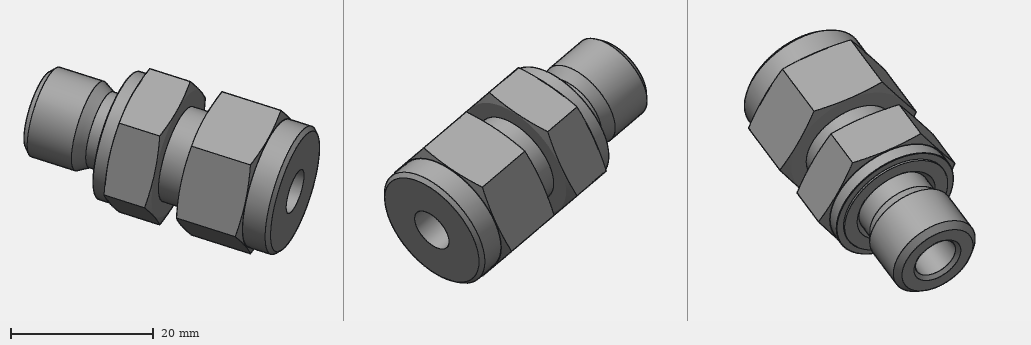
import cadquery as cq
import math

TOTAL_LENGTH = 38.8
THREAD_END = 7.6
RELIEF_START = 9.35
FLANGE_START = 12.03
BODY_HEX_START = 13.95
BODY_HEX_END = 21.0
NUT_START = 24.95
NUT_HEX_END = 34.75

ACROSS_FLATS = 19.0
HEX_CHAMFER_RADIUS = 9.35
HEX_CHAMFER_ANGLE = 15.0

BORE_RADIUS = 3.22
THREAD_RADIUS = 6.6
RELIEF_RADIUS = 5.6
COLLAR_RADIUS = 9.43
NECK_RADIUS = 7.0

THREAD_CHAMFER = 0.9
BORE_CHAMFER = 0.55
FLANGE_CHAMFER = 0.08
NUT_CHAMFER = 0.6

LIP_HEIGHT = 0.3
LIP_RADIUS = 8.3
LIP_INNER_RADIUS = 6.3
RECESS_DEPTH = LIP_INNER_RADIUS - RELIEF_RADIUS


def revolve_profile(points):
    """Turn an (X, radius) outline about the X axis."""
    return cq.Workplane("XY").polyline(points).close().revolve(360, (0, 0, 0), (1, 0, 0))


def cylinder(start, end, radius):
    """Solid cylinder about the X axis between two X positions."""
    return cq.Workplane("YZ").workplane(offset=start).circle(radius).extrude(end - start)


def chamfered_hex(start, end):
    """Hexagonal prism with flats up and down and its corners turned off at both ends."""
    corner_radius = ACROSS_FLATS / math.sqrt(3)
    prism = (
        cq.Workplane("YZ")
        .workplane(offset=start)
        .polygon(6, 2 * corner_radius)
        .extrude(end - start)
    )
    rise = (corner_radius - HEX_CHAMFER_RADIUS) * math.tan(math.radians(HEX_CHAMFER_ANGLE))
    envelope = revolve_profile([
        (start, 0),
        (start, HEX_CHAMFER_RADIUS),
        (start + rise, corner_radius),
        (end - rise, corner_radius),
        (end, HEX_CHAMFER_RADIUS),
        (end, 0),
    ])
    return prism.intersect(envelope)


def make_body():
    """Threaded body: thread, relief, sealing flange, hexagon and the neck that meets the nut."""
    lip_face = FLANGE_START - LIP_HEIGHT
    recess_floor = lip_face + RECESS_DEPTH
    turned = revolve_profile([
        (0, 0),
        (0, THREAD_RADIUS - THREAD_CHAMFER),
        (THREAD_CHAMFER, THREAD_RADIUS),
        (THREAD_END, THREAD_RADIUS),
        (RELIEF_START, RELIEF_RADIUS),
        (recess_floor, RELIEF_RADIUS),
        (lip_face, LIP_INNER_RADIUS),
        (lip_face, LIP_RADIUS),
        (FLANGE_START, LIP_RADIUS),
        (FLANGE_START, COLLAR_RADIUS - FLANGE_CHAMFER),
        (FLANGE_START + FLANGE_CHAMFER, COLLAR_RADIUS),
        (BODY_HEX_START, COLLAR_RADIUS),
        (BODY_HEX_START, 0),
    ])
    neck = cylinder(BODY_HEX_END, NUT_START, NECK_RADIUS)
    bore = cylinder(0, NUT_START, BORE_RADIUS)
    mouth = revolve_profile([
        (0, 0),
        (0, BORE_RADIUS + BORE_CHAMFER),
        (BORE_CHAMFER, BORE_RADIUS),
        (BORE_CHAMFER, 0),
    ])
    hexagon = chamfered_hex(BODY_HEX_START, BODY_HEX_END)
    return turned.union(hexagon).union(neck).cut(bore).cut(mouth)


def make_nut():
    """Nut: hexagon with a round collar behind it, bored through."""
    collar = revolve_profile([
        (NUT_HEX_END, 0),
        (NUT_HEX_END, COLLAR_RADIUS),
        (TOTAL_LENGTH - NUT_CHAMFER, COLLAR_RADIUS),
        (TOTAL_LENGTH, COLLAR_RADIUS - NUT_CHAMFER),
        (TOTAL_LENGTH, 0),
    ])
    bore = cylinder(NUT_START, TOTAL_LENGTH, BORE_RADIUS)
    return chamfered_hex(NUT_START, NUT_HEX_END).union(collar).cut(bore)


body = make_body()
nut = make_nut()
result = cq.Compound.makeCompound([body.val(), nut.val()])